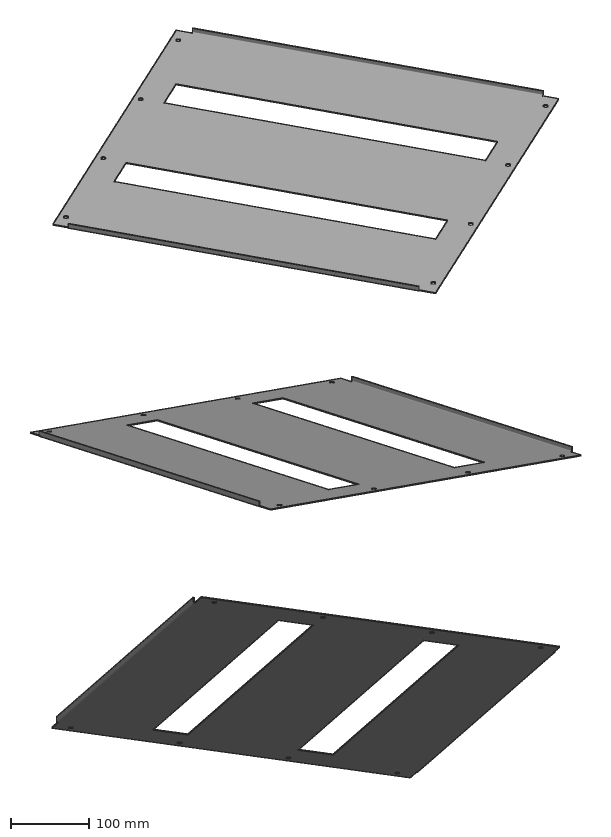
import cadquery as cq

length = 517.0
width = 499.0
height = 8.0

thickness = 1.5
inner_bend_radius = 1.0
outer_bend_radius = inner_bend_radius + thickness

plate_width = width - 2 * outer_bend_radius
flange_length = 473.5

window_length = 434.5
window_width = 48.0
window_spacing = 200.0

hole_diameter = 6.0
hole_edge_distance = 10.5
hole_pitch = 150.0
holes_per_side = 4


def make_plate():
    return cq.Workplane("XY").box(length, plate_width, thickness, centered=(True, True, False))


def make_flange():
    """Upturned lip along the +Y edge, including its rounded bend."""
    bend_start = plate_width / 2
    outer_face = width / 2
    inner_face = outer_face - thickness
    return (
        cq.Workplane("YZ")
        .moveTo(bend_start, 0)
        .radiusArc((outer_face, outer_bend_radius), -outer_bend_radius)
        .lineTo(outer_face, height)
        .lineTo(inner_face, height)
        .lineTo(inner_face, outer_bend_radius)
        .radiusArc((bend_start, thickness), inner_bend_radius)
        .close()
        .extrude(flange_length / 2, both=True)
    )


def make_windows():
    return (
        cq.Workplane("XY")
        .rarray(5, window_spacing, 1, 2)
        .rect(window_length, window_width)
        .extrude(thickness)
    )


def make_holes():
    column_spacing = length - 2 * hole_edge_distance
    return (
        cq.Workplane("XY")
        .rarray(column_spacing, hole_pitch, 2, holes_per_side)
        .circle(hole_diameter / 2)
        .extrude(thickness)
    )


flange = make_flange()
panel = make_plate().union(flange).union(flange.mirror("XZ"))
result = panel.cut(make_windows()).cut(make_holes())